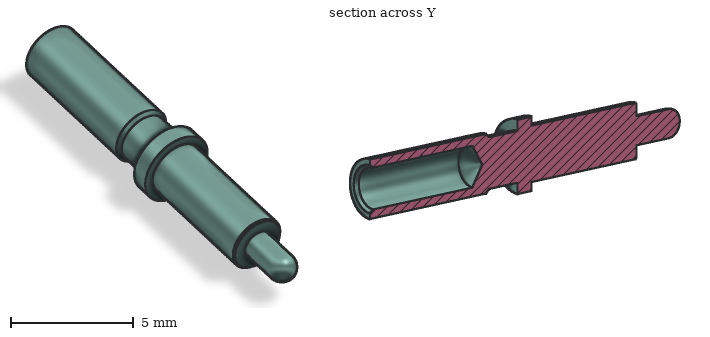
import cadquery as cq
import math

sleeve_radius = 1.27
neck_radius = 1.1
flange_radius = 1.58
barrel_radius = 1.2
pin_radius = 0.63

overall_length = 16.48
sleeve_end = 6.18
flange_start = 7.85
flange_width = 0.75
barrel_end = 14.17
barrel_chamfer = 0.07

bore_radius = 0.87
bore_depth = 5.44
countersink_size = 0.15
drill_point_angle = 118.0

flange_end = flange_start + flange_width
sleeve_taper_end = sleeve_end + sleeve_radius - neck_radius
dome_start = overall_length - pin_radius
dome_arc_offset = pin_radius * math.sqrt(0.5)
drill_point_depth = bore_depth + bore_radius / math.tan(math.radians(drill_point_angle / 2))


def revolve_about_x(half_profile):
    """Turn a closed half profile in the XY plane around the X axis."""
    return half_profile.close().revolve(360, (0, 0, 0), (1, 0, 0))


def make_body():
    """Sleeve, tapered step, neck, flange, barrel and dome-ended pin."""
    return revolve_about_x(
        cq.Workplane("XY")
        .moveTo(0, 0)
        .lineTo(0, sleeve_radius)
        .lineTo(sleeve_end, sleeve_radius)
        .lineTo(sleeve_taper_end, neck_radius)
        .lineTo(flange_start, neck_radius)
        .lineTo(flange_start, flange_radius)
        .lineTo(flange_end, flange_radius)
        .lineTo(flange_end, barrel_radius)
        .lineTo(barrel_end - barrel_chamfer, barrel_radius)
        .lineTo(barrel_end, barrel_radius - barrel_chamfer)
        .lineTo(barrel_end, pin_radius)
        .lineTo(dome_start, pin_radius)
        .threePointArc((dome_start + dome_arc_offset, dome_arc_offset), (overall_length, 0))
    )


def make_bore():
    """Countersunk blind bore with a conical drill point."""
    return revolve_about_x(
        cq.Workplane("XY")
        .moveTo(0, 0)
        .lineTo(0, bore_radius + countersink_size)
        .lineTo(countersink_size, bore_radius)
        .lineTo(bore_depth, bore_radius)
        .lineTo(drill_point_depth, 0)
    )


result = make_body().cut(make_bore())